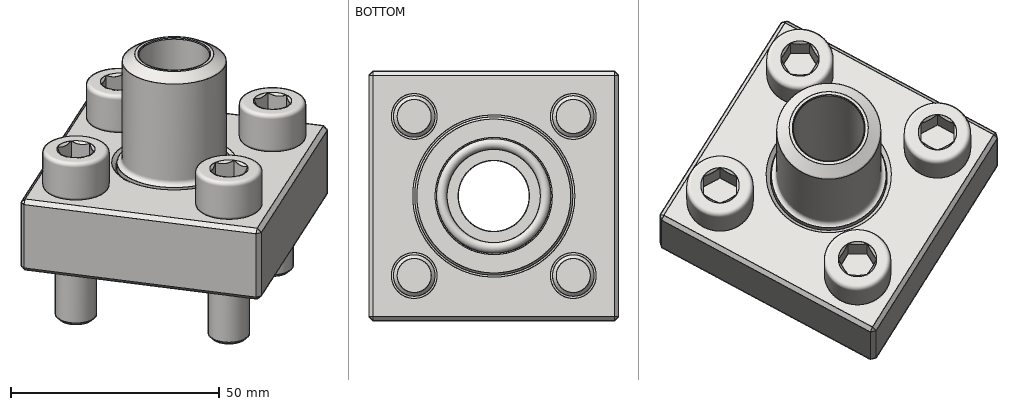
import cadquery as cq
import math

PLATE_SIDE = 60.0
PLATE_THICKNESS = 19.0
PLATE_CHAMFER = 1.0
NECK_HOLE_DIAMETER = 28.0
NECK_HOLE_CHAMFER = 1.0
COUNTERBORE_DIAMETER = 39.0
COUNTERBORE_DEPTH = 8.0
BOLT_HOLE_DIAMETER = 11.0

BOLT_COUNT = 4
BOLT_SPACING = 38.2
BOLT_DIAMETER = 10.0
BOLT_PROTRUSION = 16.0
BOLT_TIP_CHAMFER = 0.9
HEAD_DIAMETER = 16.0
HEAD_HEIGHT = 10.0
HEAD_TOP_FILLET = 1.0
HEAD_BOTTOM_FILLET = 0.8
SOCKET_SIDES = 6
SOCKET_CORNER_DIAMETER = 9.2
SOCKET_DEPTH = 6.4
SOCKET_CONE_ANGLE = 45.0

PIPE_DIAMETER = 25.0
PIPE_RISE = 29.0
PIPE_BEVEL_DIAMETER = 19.0
PIPE_BEVEL_ANGLE = 31.0
PIPE_EDGE_BREAK = 0.225
BORE_DIAMETER = 17.0
BORE_RIM_DIAMETER = 17.5
NECK_DIAMETER = 27.5
FLANGE_DIAMETER = 38.0
FLANGE_PROTRUSION = 2.0
FLANGE_CHAMFER = 0.5

GROOVE_OUTER_DIAMETER = 28.15
SEAL_OUTER_DIAMETER = 27.5
SEAL_INNER_DIAMETER = 22.4
SEAL_PROTRUSION = 0.7

PIPE_TOP = PLATE_THICKNESS + PIPE_RISE
NECK_FILLET = (NECK_DIAMETER - PIPE_DIAMETER) / 2
BORE_CHAMFER = (BORE_RIM_DIAMETER - BORE_DIAMETER) / 2
SEAL_SECTION_DIAMETER = (SEAL_OUTER_DIAMETER - SEAL_INNER_DIAMETER) / 2
SEAL_MEAN_RADIUS = (SEAL_OUTER_DIAMETER + SEAL_INNER_DIAMETER) / 4
SEAL_BOTTOM = -FLANGE_PROTRUSION - SEAL_PROTRUSION
SEAL_TOP = SEAL_BOTTOM + SEAL_SECTION_DIAMETER


def cylinder(diameter, bottom, top):
    """Solid cylinder on the Z axis between two heights."""
    return cq.Workplane("XY").workplane(offset=bottom).circle(diameter / 2).extrude(top - bottom)


def make_plate():
    """Square plate with a stepped centre hole and a clearance hole for each bolt."""
    block = cq.Workplane("XY").box(PLATE_SIDE, PLATE_SIDE, PLATE_THICKNESS, centered=(True, True, False))
    plate = block.edges().chamfer(PLATE_CHAMFER)
    plate = plate.cut(cylinder(NECK_HOLE_DIAMETER, 0, PLATE_THICKNESS))
    plate = plate.faces(">Z").edges("%CIRCLE").chamfer(NECK_HOLE_CHAMFER)
    plate = plate.cut(cylinder(COUNTERBORE_DIAMETER, 0, COUNTERBORE_DEPTH))
    bolt_holes = (
        cq.Workplane("XY")
        .rect(BOLT_SPACING, BOLT_SPACING, forConstruction=True)
        .vertices()
        .circle(BOLT_HOLE_DIAMETER / 2)
        .extrude(PLATE_THICKNESS)
    )
    return plate.cut(bolt_holes)


def make_pipe_stub():
    """Bevelled pipe with a filleted neck and a flange that fills the plate's counterbore."""
    pipe_radius = PIPE_DIAMETER / 2
    bevel_radius = PIPE_BEVEL_DIAMETER / 2
    bevel_start_radius = pipe_radius - PIPE_EDGE_BREAK
    bevel_height = (bevel_start_radius - bevel_radius) * math.tan(math.radians(PIPE_BEVEL_ANGLE))
    fillet_mid = NECK_FILLET * (1 - math.sqrt(0.5))
    flange_radius = FLANGE_DIAMETER / 2
    profile = (
        cq.Workplane("XZ")
        .moveTo(BORE_DIAMETER / 2, -FLANGE_PROTRUSION)
        .lineTo(flange_radius - FLANGE_CHAMFER, -FLANGE_PROTRUSION)
        .lineTo(flange_radius, FLANGE_CHAMFER - FLANGE_PROTRUSION)
        .lineTo(flange_radius, COUNTERBORE_DEPTH)
        .lineTo(NECK_DIAMETER / 2, COUNTERBORE_DEPTH)
        .lineTo(NECK_DIAMETER / 2, PLATE_THICKNESS)
        .threePointArc(
            (pipe_radius + fillet_mid, PLATE_THICKNESS + fillet_mid),
            (pipe_radius, PLATE_THICKNESS + NECK_FILLET),
        )
        .lineTo(pipe_radius, PIPE_TOP - bevel_height - PIPE_EDGE_BREAK)
        .lineTo(bevel_start_radius, PIPE_TOP - bevel_height)
        .lineTo(bevel_radius, PIPE_TOP)
        .lineTo(BORE_RIM_DIAMETER / 2, PIPE_TOP)
        .lineTo(BORE_DIAMETER / 2, PIPE_TOP - BORE_CHAMFER)
        .close()
    )
    stub = profile.revolve(360, (0, 0, 0), (0, 1, 0))
    groove = cylinder(GROOVE_OUTER_DIAMETER, -FLANGE_PROTRUSION, SEAL_TOP)
    groove = groove.cut(cylinder(SEAL_INNER_DIAMETER, -FLANGE_PROTRUSION, SEAL_TOP))
    return stub.cut(groove)


def make_seal():
    """Round-section ring seated in the flange groove."""
    section_radius = SEAL_SECTION_DIAMETER / 2
    section = cq.Workplane("XZ").center(SEAL_MEAN_RADIUS, SEAL_TOP - section_radius).circle(section_radius)
    return section.revolve(360, (-SEAL_MEAN_RADIUS, 0, 0), (-SEAL_MEAN_RADIUS, 1, 0))


def make_socket():
    """Hexagonal key socket with a conical lead-in, corners along X."""
    head_top = PLATE_THICKNESS + HEAD_HEIGHT
    hexagon = (
        cq.Workplane("XY")
        .workplane(offset=head_top - SOCKET_DEPTH)
        .polygon(SOCKET_SIDES, SOCKET_CORNER_DIAMETER)
        .extrude(SOCKET_DEPTH)
    )
    rim_radius = SOCKET_CORNER_DIAMETER / 2
    cone_depth = rim_radius * math.tan(math.radians(SOCKET_CONE_ANGLE))
    lead_in = cq.Solid.makeCone(0, rim_radius, cone_depth, pnt=cq.Vector(0, 0, head_top - cone_depth))
    return hexagon.union(cq.Workplane(lead_in))


def make_bolt(angle):
    """Socket head bolt on the first diagonal, turned about the Z axis into its place."""
    head = cylinder(HEAD_DIAMETER, PLATE_THICKNESS, PLATE_THICKNESS + HEAD_HEIGHT)
    head = head.faces(">Z").edges().fillet(HEAD_TOP_FILLET)
    head = head.faces("<Z").edges().fillet(HEAD_BOTTOM_FILLET)
    shank = cylinder(BOLT_DIAMETER, -BOLT_PROTRUSION, PLATE_THICKNESS)
    shank = shank.faces("<Z").chamfer(BOLT_TIP_CHAMFER)
    bolt = shank.union(head).cut(make_socket())
    bolt = bolt.translate((BOLT_SPACING / 2, BOLT_SPACING / 2, 0))
    return bolt.rotate((0, 0, 0), (0, 0, 1), angle)


plate = make_plate()
pipe_stub = make_pipe_stub()
seal = make_seal()
bolts = [make_bolt(index * 360 / BOLT_COUNT) for index in range(BOLT_COUNT)]

result = cq.Compound.makeCompound(
    [plate.val(), pipe_stub.val(), seal.val(), *[bolt.val() for bolt in bolts]]
)